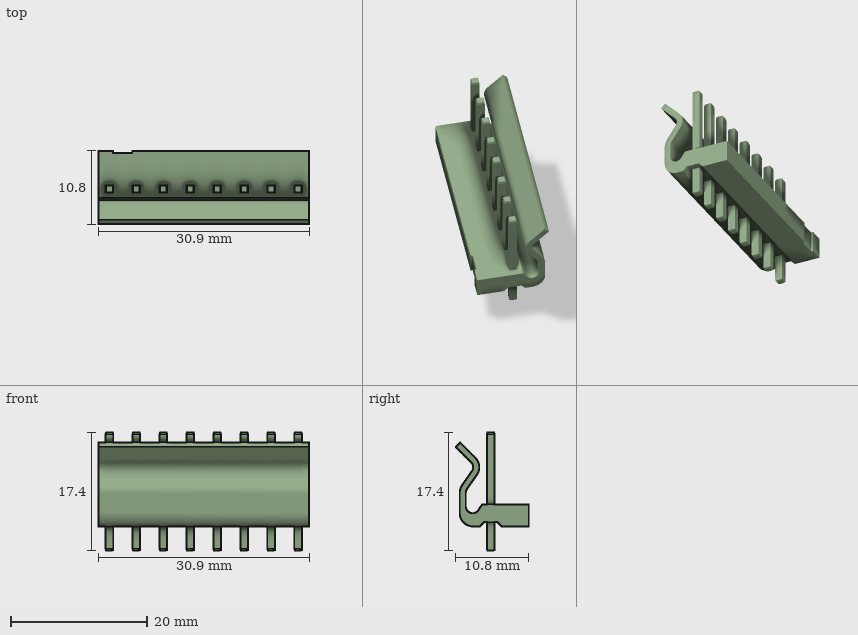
import cadquery as cq
import math


length = 30.92
base_back = 5.6
base_height = 3.28
base_top_front = -1.27

groove_depth = 0.65
groove_roof_half = 0.95
groove_mouth_half = groove_roof_half + groove_depth

wall_front = -4.58
wall_thickness = 0.93
heel_radius = 2.0
hollow_radius = 1.0
hollow_floor = 1.98
bend_height = 4.95
bend_inner_radius = 1.08
bend_outer_radius = bend_inner_radius + wall_thickness
lean = math.radians(35)
elbow_back = -1.67
elbow_inner_radius = 1.0
elbow_outer_radius = elbow_inner_radius + wall_thickness
lip_slope = math.radians(45)
lip_tip = -5.15

notch_start = 2.15
notch_width = 2.78
notch_depth = 0.3

pin_count = 8
pin_pitch = 3.95
pin_width = 1.15
pin_top = 13.88
pin_bottom = -3.55
pin_taper_height = 0.3
pin_taper_inset = 0.108


def on_circle(center, radius, angle):
    """Point on a circle in the YZ plane, with the angle measured from +Y towards +Z."""
    return (center[0] + radius * math.cos(angle), center[1] + radius * math.sin(angle))


def arc_to(sketch, center, radius, start, end):
    """Continue the outline along an arc from its start angle to its end angle."""
    middle = on_circle(center, radius, (start + end) / 2)
    return sketch.threePointArc(middle, on_circle(center, radius, end))


def make_housing():
    wall_back = wall_front + wall_thickness
    heel_center = (wall_front + heel_radius, heel_radius)
    hollow_center = (wall_back + hollow_radius, hollow_floor + hollow_radius)
    bend_center = (wall_back + bend_inner_radius, bend_height)

    elbow_y = elbow_back - elbow_outer_radius
    center_gap = bend_inner_radius + elbow_outer_radius
    shift = elbow_y - bend_center[0]
    straight = (shift + center_gap * math.cos(lean)) / math.sin(lean)
    rise = center_gap * math.sin(lean) + straight * math.cos(lean)
    elbow_center = (elbow_y, bend_height + rise)

    bend_start = math.pi
    bend_end = math.pi - lean
    elbow_start = -lean
    elbow_end = math.pi / 2 - lip_slope

    lip_root = on_circle(elbow_center, elbow_inner_radius, elbow_end)
    lip_front = (lip_tip, lip_root[1] + (lip_root[0] - lip_tip) * math.tan(lip_slope))
    lip_back = on_circle(lip_front, wall_thickness, elbow_end)

    to_edge_y = base_top_front - hollow_center[0]
    to_edge_z = base_height - hollow_center[1]
    edge_distance = math.hypot(to_edge_y, to_edge_z)
    hollow_end = math.atan2(to_edge_z, to_edge_y) - math.acos(hollow_radius / edge_distance)

    outline = (
        cq.Workplane("YZ", origin=(-length / 2, 0, 0))
        .moveTo(base_back, base_height)
        .lineTo(base_back, 0)
        .lineTo(groove_mouth_half, 0)
        .lineTo(groove_roof_half, groove_depth)
        .lineTo(-groove_roof_half, groove_depth)
        .lineTo(-groove_mouth_half, 0)
        .lineTo(heel_center[0], 0)
    )
    outline = arc_to(outline, heel_center, heel_radius, -math.pi / 2, -math.pi)
    outline = outline.lineTo(wall_front, bend_height)
    outline = arc_to(outline, bend_center, bend_outer_radius, bend_start, bend_end)
    outline = outline.lineTo(*on_circle(elbow_center, elbow_inner_radius, elbow_start))
    outline = arc_to(outline, elbow_center, elbow_inner_radius, elbow_start, elbow_end)
    outline = outline.lineTo(*lip_front).lineTo(*lip_back)
    outline = outline.lineTo(*on_circle(elbow_center, elbow_outer_radius, elbow_end))
    outline = arc_to(outline, elbow_center, elbow_outer_radius, elbow_end, elbow_start)
    outline = outline.lineTo(*on_circle(bend_center, bend_inner_radius, bend_end))
    outline = arc_to(outline, bend_center, bend_inner_radius, bend_end, bend_start)
    outline = outline.lineTo(wall_back, hollow_center[1])
    outline = arc_to(outline, hollow_center, hollow_radius, -math.pi, hollow_end)
    return outline.lineTo(base_top_front, base_height).close().extrude(length)


def make_notch():
    return cq.Workplane("XY").box(
        notch_width, notch_depth, base_height, centered=False
    ).translate((notch_start - length / 2, base_back - notch_depth, 0))


def make_pin(x):
    return (
        cq.Workplane("XY", origin=(x, 0, pin_bottom))
        .rect(pin_width, pin_width)
        .extrude(pin_top - pin_bottom)
        .faces(">Z")
        .chamfer(pin_taper_height, pin_taper_inset)
        .faces("<Z")
        .chamfer(pin_taper_height, pin_taper_inset)
    )


result = make_housing().cut(make_notch())
for index in range(pin_count):
    result = result.union(make_pin((index - (pin_count - 1) / 2) * pin_pitch))